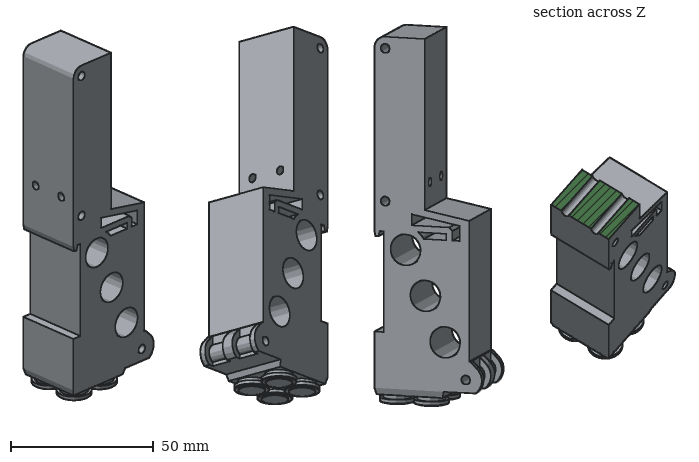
import math

import cadquery as cq

WIDTH = 25.0

BLOCK_DEPTH = 34.85
COLUMN_DEPTH = 18.5
TOP_Z = 125.0
SHOULDER_BACK_Z = 61.25
SHOULDER_FRONT_Z = 64.2
TOP_ROUND = 4.0
SHOULDER_SLOPE = (SHOULDER_FRONT_Z - SHOULDER_BACK_Z) / (BLOCK_DEPTH - COLUMN_DEPTH)

RECESS_DEPTH = 3.4
RECESS_BOTTOM_Z = 20.0
RECESS_TOP_Z = 55.8
HOOK_TIP_Z = 53.9
HOOK_FRONT_TIP_Y = 0.4
HOOK_BACK_TIP_Y = 1.5
HOOK_ROOT_Y = 2.0

LUG_Y = 33.6
LUG_Z = 4.65
LUG_RADIUS = 5.89
LUG_HOLE_DIAMETER = 3.2
LUG_BASE_DEPTH = 35.35
LUG_TANGENT = LUG_RADIUS * math.sqrt(0.5)
LUG_TOP_Z = LUG_Z + LUG_TANGENT + (LUG_Y + LUG_TANGENT - LUG_BASE_DEPTH)
BARREL_RADIUS = 3.65
OUTER_FINGER_WIDTH = 2.2
MIDDLE_FINGER_WIDTH = 4.4

PORT_DIAMETER = 11.0
PORT_CENTRES = [(11.48, 49.65), (18.75, 33.7), (26.02, 17.6)]
PIN_DIAMETER = 3.2
PIN_Y = 4.0
UPPER_PIN_DROP = 4.15
PIN_SPACING = 54.3
PIN_HEIGHTS = [TOP_Z - UPPER_PIN_DROP, TOP_Z - UPPER_PIN_DROP - PIN_SPACING]
SCREW_DIAMETER = 3.0
SCREW_SPACING = 12.7
SCREW_Z = 73.15

LATCH_BACK_Y = 31.4
LATCH_FRONT_Y = 13.7
LATCH_BOTTOM_Z = 53.9
LATCH_ROOF_GAP = 2.6
ARM_TOP_Z = 58.5
ARM_BACK_Y = 28.7
ARM_CHAMFER = 1.2
WINDOW_TOP_Z = 56.2
WINDOW_BACK_Y = 26.4
WINDOW_ARC_RADIUS = 8.0

PAD_DEPTH = 25.5
PAD_HEIGHT = 2.4
PAD_DRAFT = 15.0
FITTING_SPACING = 12.5
NECK_DIAMETER = 10.1
NECK_HEIGHT = 1.5
COLLAR_DIAMETER = 12.4
COLLAR_HEIGHT = 1.5
COLLAR_CHAMFER = 0.25
TIP_DIAMETER = 9.5
TIP_HEIGHT = 0.34


def side_plane():
    """Sketch plane on the -X side: local x runs along Y, local y along Z."""
    return cq.Workplane("YZ", origin=(-WIDTH / 2, 0, 0))


def shoulder_z(y):
    return SHOULDER_BACK_Z + SHOULDER_SLOPE * (BLOCK_DEPTH - y)


def make_body():
    outline = [
        (0, 0),
        (BLOCK_DEPTH, 0),
        (BLOCK_DEPTH, SHOULDER_BACK_Z),
        (COLUMN_DEPTH, SHOULDER_FRONT_Z),
        (COLUMN_DEPTH, TOP_Z),
        (0, TOP_Z),
        (0, RECESS_TOP_Z),
        (HOOK_FRONT_TIP_Y, HOOK_TIP_Z),
        (HOOK_BACK_TIP_Y, HOOK_TIP_Z),
        (HOOK_ROOT_Y, RECESS_TOP_Z),
        (RECESS_DEPTH, RECESS_TOP_Z),
        (RECESS_DEPTH, RECESS_BOTTOM_Z),
        (0, RECESS_BOTTOM_Z),
    ]
    body = side_plane().polyline(outline).close().extrude(WIDTH)
    return body.edges("|X and >Z and <Y").fillet(TOP_ROUND)


def lug_finger(x_start, width):
    """Round lug with a 45 degree flank rising to the lug base, cut level with the block underside."""
    half_chord = math.sqrt(LUG_RADIUS**2 - LUG_Z**2)
    return (
        cq.Workplane("YZ", origin=(x_start, 0, 0))
        .moveTo(LUG_Y, 0)
        .lineTo(LUG_Y + half_chord, 0)
        .threePointArc((LUG_Y + LUG_RADIUS, LUG_Z), (LUG_Y + LUG_TANGENT, LUG_Z + LUG_TANGENT))
        .lineTo(LUG_BASE_DEPTH, LUG_TOP_Z)
        .lineTo(LUG_Y, LUG_TOP_Z)
        .close()
        .extrude(width)
    )


def add_lug(body):
    fingers = [
        (-WIDTH / 2, OUTER_FINGER_WIDTH),
        (-MIDDLE_FINGER_WIDTH / 2, MIDDLE_FINGER_WIDTH),
        (WIDTH / 2 - OUTER_FINGER_WIDTH, OUTER_FINGER_WIDTH),
    ]
    for x_start, width in fingers:
        body = body.union(lug_finger(x_start, width))
    base_outline = [(LUG_Y, 0), (LUG_BASE_DEPTH, 0), (LUG_BASE_DEPTH, LUG_TOP_Z), (LUG_Y, LUG_TOP_Z)]
    base = side_plane().polyline(base_outline).close().extrude(WIDTH)
    barrel = side_plane().center(LUG_Y, LUG_Z).circle(BARREL_RADIUS).extrude(WIDTH)
    return body.union(base).union(barrel)


def cross_hole(y, z, diameter):
    return side_plane().center(y, z).circle(diameter / 2).extrude(WIDTH)


def cut_holes(body):
    for y, z in PORT_CENTRES:
        body = body.cut(cross_hole(y, z, PORT_DIAMETER))
    for z in PIN_HEIGHTS:
        body = body.cut(cross_hole(PIN_Y, z, PIN_DIAMETER))
    body = body.cut(cross_hole(LUG_Y, LUG_Z, LUG_HOLE_DIAMETER))
    for x in (-SCREW_SPACING / 2, SCREW_SPACING / 2):
        screw = cq.Workplane("XZ").center(x, SCREW_Z).circle(SCREW_DIAMETER / 2).extrude(-COLUMN_DEPTH)
        body = body.cut(screw)
    return body


def latch_slot():
    """L-shaped slot that frees the top and back of the latch arm."""
    outline = [
        (LATCH_BACK_Y, LATCH_BOTTOM_Z),
        (LATCH_BACK_Y, shoulder_z(LATCH_BACK_Y) - LATCH_ROOF_GAP),
        (LATCH_FRONT_Y, shoulder_z(LATCH_FRONT_Y) - LATCH_ROOF_GAP),
        (LATCH_FRONT_Y, ARM_TOP_Z),
        (ARM_BACK_Y - ARM_CHAMFER, ARM_TOP_Z),
        (ARM_BACK_Y, ARM_TOP_Z - ARM_CHAMFER),
        (ARM_BACK_Y, LATCH_BOTTOM_Z),
    ]
    return side_plane().polyline(outline).close().extrude(WIDTH)


def latch_window():
    """Slot below the latch arm, ending in an arc around the upper port."""
    port_y, port_z = PORT_CENTRES[0]

    def arc_point(z):
        return (port_y + math.sqrt(WINDOW_ARC_RADIUS**2 - (z - port_z) ** 2), z)

    middle_z = (LATCH_BOTTOM_Z + WINDOW_TOP_Z) / 2
    return (
        side_plane()
        .moveTo(WINDOW_BACK_Y, LATCH_BOTTOM_Z)
        .lineTo(WINDOW_BACK_Y, WINDOW_TOP_Z)
        .lineTo(*arc_point(WINDOW_TOP_Z))
        .threePointArc(arc_point(middle_z), arc_point(LATCH_BOTTOM_Z))
        .close()
        .extrude(WIDTH)
    )


def make_pad():
    pad_plane = cq.Workplane("XY", origin=(0, PAD_DEPTH / 2, 0))
    return pad_plane.rect(WIDTH, PAD_DEPTH).extrude(-PAD_HEIGHT, taper=PAD_DRAFT)


def make_fitting():
    """Push-in fitting hanging down from Z = 0: neck, wider chamfered collar and low tip."""
    collar_bottom = -NECK_HEIGHT - COLLAR_HEIGHT
    tip_bottom = collar_bottom - TIP_HEIGHT
    profile = [
        (0, 0),
        (NECK_DIAMETER / 2, 0),
        (NECK_DIAMETER / 2, -NECK_HEIGHT),
        (COLLAR_DIAMETER / 2, -NECK_HEIGHT),
        (COLLAR_DIAMETER / 2, collar_bottom + COLLAR_CHAMFER),
        (COLLAR_DIAMETER / 2 - COLLAR_CHAMFER, collar_bottom),
        (TIP_DIAMETER / 2, collar_bottom),
        (TIP_DIAMETER / 2, tip_bottom),
        (0, tip_bottom),
    ]
    return cq.Workplane("XZ").polyline(profile).close().revolve(360, (0, 0, 0), (0, 1, 0))


def add_fittings(body):
    fitting = make_fitting()
    half = FITTING_SPACING / 2
    for x in (-half, half):
        for y in (PAD_DEPTH / 2 - half, PAD_DEPTH / 2 + half):
            body = body.union(fitting.translate((x, y, -PAD_HEIGHT)))
    return body


result = add_lug(make_body())
result = cut_holes(result)
result = result.cut(latch_slot()).cut(latch_window())
result = result.union(make_pad())
result = add_fittings(result)